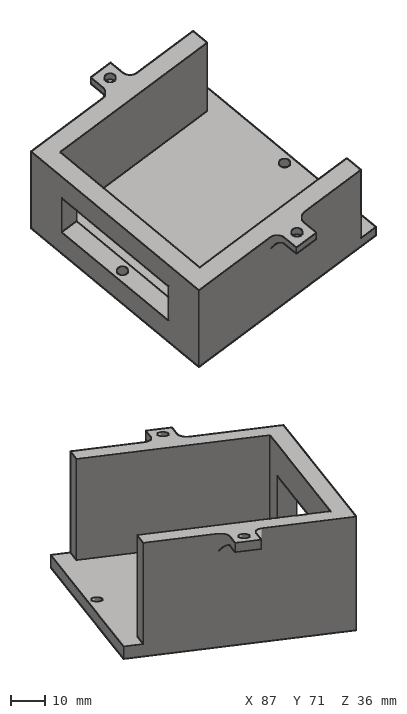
import cadquery as cq

overall_width = 87.0
body_side = 71.0
height = 36.0
wall = 6.0
floor_thickness = 4.0

window_width = 45.1
window_height = 16.0
window_bottom = (height - window_height) / 2

ear_width = 8.0
ear_thickness = 3.0
ear_fillet = 3.0
ear_hole_inset = 4.0

hole_diameter = 3.3

half_body = body_side / 2
ear_bottom = height - ear_thickness


def block(x_range, y_range, z_range):
    """Box between the given lower and upper limits on each axis."""
    size = [high - low for low, high in (x_range, y_range, z_range)]
    corner = (x_range[0], y_range[0], z_range[0])
    return cq.Workplane("XY").box(*size, centered=False).translate(corner)


def vertical_hole(x, y, bottom, top):
    """Cylinder that cuts a vertical hole between two heights."""
    return cq.Workplane("XY", origin=(x, y, bottom)).circle(hole_diameter / 2).extrude(top - bottom)


body = block((-half_body, half_body), (-half_body, half_body), (0, height))
ears = block(
    (-overall_width / 2, overall_width / 2),
    (-ear_width / 2, ear_width / 2),
    (ear_bottom, height),
)
body = body.union(ears)
for side in (-1, 1):
    root_edges = cq.selectors.BoxSelector(
        (side * half_body - 0.1, -ear_width, ear_bottom - 0.1),
        (side * half_body + 0.1, ear_width, height - 0.1),
    )
    body = body.edges(root_edges).fillet(ear_fillet)

cavity = block(
    (-half_body + wall, half_body - wall),
    (-half_body + wall, half_body),
    (floor_thickness, height),
)
ledge_clearance = block(
    (-half_body, half_body),
    (half_body - wall, half_body),
    (floor_thickness, height),
)
window = block(
    (-window_width / 2, window_width / 2),
    (-half_body, -half_body + wall),
    (window_bottom, window_bottom + window_height),
)
body = body.cut(cavity).cut(ledge_clearance).cut(window)

hole_y = half_body - wall / 2
body = body.cut(vertical_hole(0, -hole_y, 0, window_bottom))
body = body.cut(vertical_hole(0, hole_y, 0, floor_thickness))
for side in (-1, 1):
    ear_hole_x = side * (overall_width / 2 - ear_hole_inset)
    body = body.cut(vertical_hole(ear_hole_x, 0, ear_bottom - ear_fillet, height))

result = body